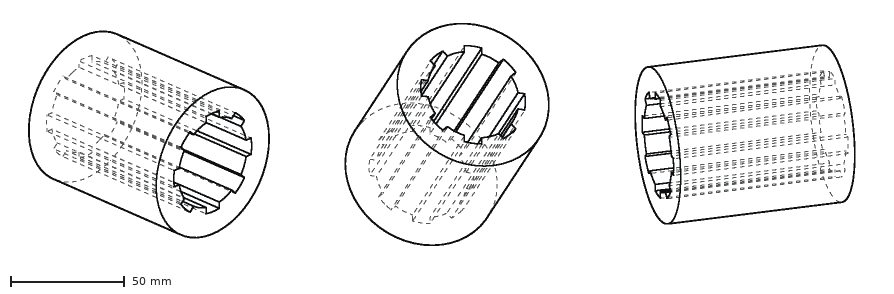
import cadquery as cq

length = 80.0
outer_diameter = 69.7

bore_diameter = 42.0
groove_floor_diameter = 48.0
groove_width = 8.0
groove_count = 8


def cylinder_along_x(diameter):
    """Full-length cylinder centred on the origin, axis along X."""
    return cq.Workplane("YZ", origin=(-length / 2, 0, 0)).circle(diameter / 2).extrude(length)


def groove_bars():
    """Bars across the bore; each one forms two opposite grooves."""
    bar = cq.Workplane("XY").box(length, groove_width, outer_diameter)
    bars = bar
    for index in range(1, groove_count // 2):
        angle = index * 360 / groove_count
        bars = bars.union(bar.rotate((0, 0, 0), (1, 0, 0), angle))
    return bars


grooves = groove_bars().intersect(cylinder_along_x(groove_floor_diameter))
splined_bore = cylinder_along_x(bore_diameter).union(grooves)

result = cylinder_along_x(outer_diameter).cut(splined_bore)